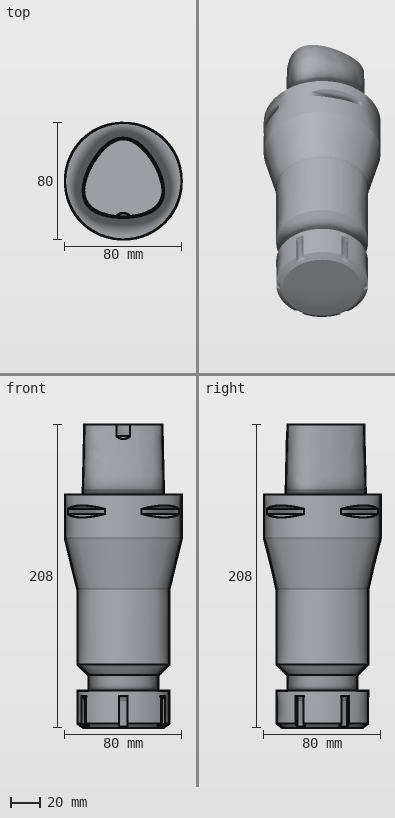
import cadquery as cq
import math

total_height = 208.0
nut_top = 25.5
neck_top = 36.2
body_chamfer_top = 43.7
body_top = 95.0
flange_bottom = 130.0
flange_top = 160.0
shank_collar_height = 3.1

flange_diameter = 80.0
body_diameter = 63.0
nut_diameter = body_diameter
neck_diameter = 48.0
nut_chamfer_height = 3.1
nut_chamfer_width = 4.4

shank_base_radius = 27.5
shank_tip_radius = 26.5
lobe_height = 2.3

keyway_radius = 6.0
keyway_axis_y = -27.9
keyway_depth = 8.1
keyway_point_height = 5.0

notch_count = 4
notch_center_z = 148.3
notch_floor_distance = 35.8
notch_floor_height = 3.3
notch_wall_angle = 30.0

slot_count = 6
slot_width = 6.0
slot_top = 21.8
slot_floor_distance = 28.7
slot_end_radius = 3.1

outer_clearance = 2.0


def make_turned_body():
    flange_radius = flange_diameter / 2
    body_radius = body_diameter / 2
    neck_radius = neck_diameter / 2
    nut_radius = nut_diameter / 2
    return (
        cq.Workplane("XZ")
        .lineTo(nut_radius - nut_chamfer_width, 0)
        .lineTo(nut_radius, nut_chamfer_height)
        .lineTo(nut_radius, nut_top)
        .lineTo(neck_radius, nut_top)
        .lineTo(neck_radius, neck_top)
        .lineTo(body_radius, body_chamfer_top)
        .lineTo(body_radius, body_top)
        .lineTo(flange_radius, flange_bottom)
        .lineTo(flange_radius, flange_top)
        .lineTo(0, flange_top)
        .close()
        .revolve(360, (0, 0, 0), (0, 1, 0))
    )


def lobed_wire(mean_radius, z):
    """Closed three-lobed hypotrochoid with one lobe pointing to +Y."""

    def point(t):
        angle = 2 * math.pi * t
        x = mean_radius * math.cos(angle) - lobe_height * math.sin(2 * angle)
        y = mean_radius * math.sin(angle) - lobe_height * math.cos(2 * angle)
        return x, y

    samples = 48
    points = [cq.Vector(*point(i / samples), z) for i in range(samples)]
    return cq.Wire.assembleEdges([cq.Edge.makeSpline(points, periodic=True)])


def make_shank():
    collar_top = flange_top + shank_collar_height
    base = lobed_wire(shank_base_radius, flange_top)
    taper_start = lobed_wire(shank_base_radius, collar_top)
    tip = lobed_wire(shank_tip_radius, total_height)
    collar = cq.Workplane(cq.Solid.makeLoft([base, taper_start], True))
    taper = cq.Workplane(cq.Solid.makeLoft([taper_start, tip], True))
    return collar.union(taper)


def make_keyway():
    """Vertical drilled hole with a conical end, open to the -Y side."""
    rim_z = total_height - keyway_depth
    return (
        cq.Workplane("XZ", origin=(0, keyway_axis_y, 0))
        .moveTo(0, rim_z - keyway_point_height)
        .lineTo(keyway_radius, rim_z)
        .lineTo(keyway_radius, total_height)
        .lineTo(0, total_height)
        .close()
        .revolve(360, (0, 0, 0), (0, 1, 0))
    )


def make_gripper_notch():
    """Trapezoidal groove across the +X side of the flange."""
    outer_x = flange_diameter / 2 + outer_clearance
    half_floor = notch_floor_height / 2
    rise = (outer_x - notch_floor_distance) * math.tan(math.radians(notch_wall_angle))
    half_mouth = half_floor + rise
    return (
        cq.Workplane("XZ", origin=(0, 0, notch_center_z))
        .moveTo(notch_floor_distance, -half_floor)
        .lineTo(outer_x, -half_mouth)
        .lineTo(outer_x, half_mouth)
        .lineTo(notch_floor_distance, half_floor)
        .close()
        .extrude(flange_diameter / 2, both=True)
    )


def make_spanner_slot():
    """Radial slot on the +X side, with a rounded corner at the top of its floor."""
    depth = nut_diameter / 2 + outer_clearance - slot_floor_distance
    return (
        cq.Workplane("XY")
        .box(depth, slot_width, slot_top, centered=(False, True, False))
        .edges("<X and >Z")
        .fillet(slot_end_radius)
        .translate((slot_floor_distance, 0, 0))
    )


def turned_about_z(shape, angle):
    return shape.rotate((0, 0, 0), (0, 0, 1), angle)


result = make_turned_body().union(make_shank()).cut(make_keyway())

for i in range(notch_count):
    result = result.cut(turned_about_z(make_gripper_notch(), (i + 0.5) * 360 / notch_count))

for i in range(slot_count):
    result = result.cut(turned_about_z(make_spanner_slot(), -90 + i * 360 / slot_count))